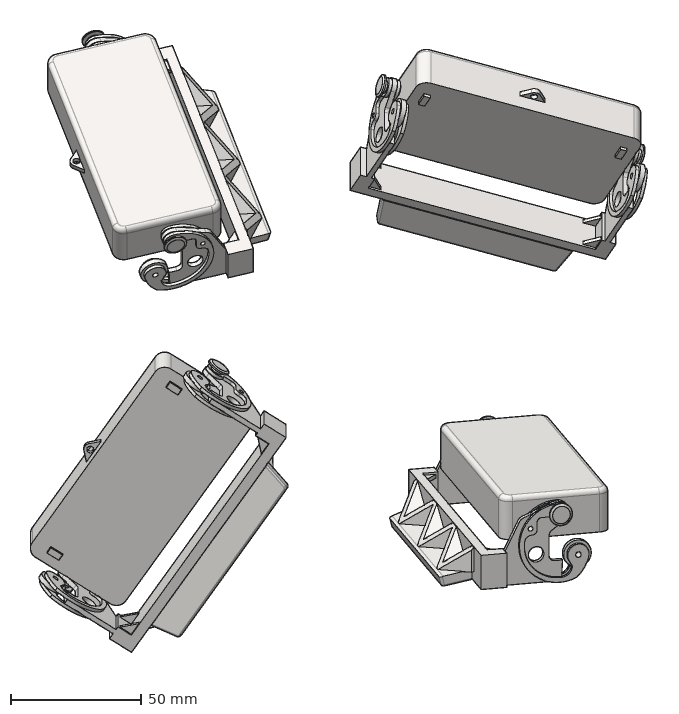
import cadquery as cq
import math


cover_length = 93.5
cover_width = 43.3
cover_height = 17.5
cover_corner_radius = 4.4
cover_edge_radius = 2.1

tab_bottom = 5.7
tab_thickness = 2.0
tab_tip_radius = 2.5
tab_hole_radius = 1.3
tab_overlap = 1.1
tab_hole_y = -23.2

peg_length_x = 2.6
peg_length_y = 5.5
peg_height = 1.3
peg_x = 41.1
peg_y = -12.0

pin_z = 11.1
pin_radius = 2.5
pin_overlap = 0.5
knob_radius = 4.5
knob_thickness = 1.1
knob_chamfer_depth = 0.4
knob_chamfer_radial = 1.0
knob_face_x = 54.8

plate_x = 49.8
plate_thickness = 2.1
plate_head_radius = 4.2
plate_hole_radius = 3.1
plate_hole_center = (9.0, -5.4)
lever_thickness = 4.8
lever_center = (0.0, -1.1)
lever_outer_radius = 16.0
lever_inner_radius = 14.0
lever_head_radius = lever_center[1] + lever_outer_radius - pin_z
rivet_hole_radius = 0.93
rivet_center = (11.6, 5.7)

hook_center = (-7.5, -6.5)
hook_radius = 4.3
roller_radius = 5.5
hook_hole_radius = 1.1

frame_half_length = 53.3
frame_front_y = 21.4
bar_front_y = 27.5
frame_back_y = 31.5
frame_top = -3.0
frame_bottom = -16.9
arm_inner_x = plate_x - lever_thickness / 2
gusset_leg = 5.3
gusset_thickness = 1.5
gusset_inset = 0.9

flange_slope = 0.25
flange_root_top = -12.9
flange_root_bottom = -17.3
flange_end_y = 43.7
flange_buried_run = 1.1
flange_root_half_length = 39.9
flange_end_half_length = 37.2
flange_corner_radius = 1.3
flange_bottom_radius = 0.7
flange_bevel_drop = 0.2

rib_pitch = 28.4
rib_root_top = -3.3
rib_end_drop = 12.5
rib_end_y = 42.4
rib_slope = rib_end_drop / (rib_end_y - frame_back_y)
rib_sink = 0.1
rib_peak_half_width = 0.8
rib_valley_y = 32.4
pocket_half_width = 11.6
pocket_depth_y = 8.5


def box(x0, x1, y0, y1, z0, z1):
    """Axis-aligned box between two corners."""
    return cq.Workplane("XY").box(x1 - x0, y1 - y0, z1 - z0, centered=False).translate((x0, y0, z0))


def polar(center, radius, degrees):
    """Point on a circle."""
    angle = math.radians(degrees)
    return (center[0] + radius * math.cos(angle), center[1] + radius * math.sin(angle))


def tangent_point(point, center, radius, side):
    """Where a line from a point touches a circle; side is +1 or -1."""
    dx = point[0] - center[0]
    dy = point[1] - center[1]
    turn = math.acos(radius / math.hypot(dx, dy))
    return polar(center, radius, math.degrees(math.atan2(dy, dx) + side * turn))


def side_plane(x):
    """Sketch plane across X, with sketch axes along Y and Z."""
    return cq.Workplane("YZ", origin=(x, 0, 0))


def side_disc(center, radius, thickness):
    """Disc across X, centred on the side plate."""
    return side_plane(plate_x - thickness / 2).center(*center).circle(radius).extrude(thickness)


def make_cover():
    """Solid block with rounded upright corners and a rounded top edge."""
    cover = cq.Workplane("XY").rect(cover_length, cover_width).extrude(cover_height)
    cover = cover.edges("|Z").fillet(cover_corner_radius)
    return cover.faces(">Z").edges().fillet(cover_edge_radius)


def make_tab():
    """Eyelet with 45 degree sides tangent to its rounded tip."""
    root_y = -cover_width / 2 + tab_overlap
    tangent = tab_tip_radius / math.sqrt(2)
    shoulder_y = tab_hole_y - tangent
    root_half = tangent + root_y - shoulder_y
    return (
        cq.Workplane("XY", origin=(0, 0, tab_bottom))
        .moveTo(-root_half, root_y)
        .lineTo(-tangent, shoulder_y)
        .threePointArc((0, tab_hole_y - tab_tip_radius), (tangent, shoulder_y))
        .lineTo(root_half, root_y)
        .close()
        .extrude(tab_thickness)
    )


def make_peg():
    """Small rectangular peg under the cover at its +X end."""
    return box(
        peg_x - peg_length_x / 2, peg_x + peg_length_x / 2,
        peg_y - peg_length_y / 2, peg_y + peg_length_y / 2,
        -peg_height, 0,
    )


def make_pin():
    """Pin from the cover out to a chamfered knob, turned about X."""
    profile = [
        (cover_length / 2 - pin_overlap, 0),
        (cover_length / 2 - pin_overlap, pin_radius),
        (knob_face_x - knob_thickness, pin_radius),
        (knob_face_x - knob_thickness, knob_radius),
        (knob_face_x - knob_chamfer_depth, knob_radius),
        (knob_face_x, knob_radius - knob_chamfer_radial),
        (knob_face_x, 0),
    ]
    pin = cq.Workplane("XY").polyline(profile).close().revolve(360, (0, 0, 0), (1, 0, 0))
    return pin.translate((0, 0, pin_z))


def make_plate():
    """Side plate reaching from the frame up to the hinge pin."""
    head = (0.0, pin_z)
    shoulder_start = (16.0, 7.7)
    shoulder_middle = (14.9, 9.3)
    shoulder_end = (13.2, 10.2)
    throat_top = (3.8, 3.1)
    throat_bottom_z = -8.5
    throat_radius = 2.2
    throat_brow_radius = 2.2
    throat_corner = (throat_top[0] - throat_radius, throat_bottom_z + throat_radius)
    foot_tip_y = -1.5
    foot_heel_y = -1.1
    plate = (
        side_plane(plate_x - plate_thickness / 2)
        .moveTo(frame_front_y, frame_bottom)
        .lineTo(frame_front_y, frame_top)
        .lineTo(*shoulder_start)
        .threePointArc(shoulder_middle, shoulder_end)
        .lineTo(*tangent_point(shoulder_end, head, plate_head_radius, 1))
        .threePointArc(
            polar(head, plate_head_radius, 180),
            tangent_point(throat_top, head, plate_head_radius, -1),
        )
        .lineTo(*throat_top)
        .lineTo(throat_top[0], throat_corner[1])
        .threePointArc(polar(throat_corner, throat_radius, -45), (throat_corner[0], throat_bottom_z))
        .lineTo(foot_tip_y, throat_bottom_z)
        .lineTo(foot_heel_y, frame_bottom)
        .close()
        .extrude(plate_thickness)
    )
    brow = cq.selectors.NearestToPointSelector((plate_x, *throat_top))
    return plate.edges(brow).fillet(throat_brow_radius)


def make_lever():
    """C-shaped lever between the hinge pin and the hook, with a roller inside the hook."""
    arch_z = 9.9
    arch_y = 9.0
    jaw_tip = (-5.0, -10.8)
    heel_start = polar(lever_center, lever_outer_radius, -115)
    jaw_end = polar(hook_center, hook_radius, -30)
    lever = (
        side_plane(plate_x - lever_thickness / 2)
        .moveTo(0, pin_z + lever_head_radius)
        .threePointArc(polar(lever_center, lever_outer_radius, 0), heel_start)
        .threePointArc((-9.9, -11.8), polar(hook_center, hook_radius, 180))
        .threePointArc(polar(hook_center, hook_radius, 90), jaw_end)
        .lineTo(*jaw_tip)
        .threePointArc((-3.6, -13.9), polar(lever_center, lever_inner_radius, -94))
        .threePointArc(
            polar(lever_center, lever_inner_radius, -45),
            polar(lever_center, lever_inner_radius, 7),
        )
        .threePointArc((13.1, 2.2), (11.2, 3.1))
        .threePointArc((9.5, 3.7), (arch_y, 5.0))
        .lineTo(arch_y, 8.0)
        .threePointArc((8.4, 9.3), (7.1, arch_z))
        .lineTo(0, arch_z)
        .close()
        .extrude(lever_thickness)
    )
    lever = lever.union(side_disc((0, pin_z), lever_head_radius, lever_thickness))
    slot_size = 4 * lever_outer_radius
    slot = side_plane(plate_x - plate_thickness / 2).rect(slot_size, slot_size).extrude(plate_thickness)
    return lever.cut(slot).union(side_disc(hook_center, roller_radius, plate_thickness))


def make_gussets():
    """Upper and lower triangular webs in the inner corner of the frame."""
    profile = [
        (arm_inner_x, bar_front_y),
        (arm_inner_x - gusset_leg, bar_front_y),
        (arm_inner_x, bar_front_y - gusset_leg),
    ]
    gusset = cq.Workplane("XY").polyline(profile).close().extrude(gusset_thickness)
    upper = gusset.translate((0, 0, frame_top - gusset_inset - gusset_thickness))
    lower = gusset.translate((0, 0, frame_bottom + gusset_inset))
    return upper.union(lower)


def make_side():
    """Everything at the +X end: arm, gussets, plate, lever, pin and peg."""
    side = box(arm_inner_x, frame_half_length, frame_front_y, frame_back_y, frame_bottom, frame_top)
    side = side.union(make_gussets()).union(make_plate()).union(make_lever())
    side = side.cut(side_disc(plate_hole_center, plate_hole_radius, lever_thickness))
    side = side.cut(side_disc(rivet_center, rivet_hole_radius, lever_thickness))
    side = side.cut(side_disc(hook_center, hook_hole_radius, lever_thickness))
    return side.union(make_pin()).union(make_peg())


def make_flange():
    """Tilted plate, tapered in length, with rounded outer corners and lower edges."""
    stretch = math.hypot(1, flange_slope)
    thickness = (flange_root_top - flange_root_bottom) / stretch
    end_bottom_y = flange_end_y - thickness * flange_slope / stretch
    run = (end_bottom_y - frame_back_y) * stretch
    taper = (flange_root_half_length - flange_end_half_length) / run
    buried_half_length = flange_root_half_length + taper * flange_buried_run
    outline = [
        (-buried_half_length, -flange_buried_run),
        (-flange_end_half_length, run),
        (flange_end_half_length, run),
        (buried_half_length, -flange_buried_run),
    ]
    underside = cq.Plane(
        origin=(0, frame_back_y, flange_root_bottom), xDir=(1, 0, 0), normal=(0, flange_slope, 1)
    )
    flange = cq.Workplane(underside).polyline(outline).close().extrude(thickness)
    end_edges = cq.selectors.ParallelDirSelector(underside.zDir)
    flange = flange.edges(end_edges).edges(">Y").fillet(flange_corner_radius)
    flange = flange.faces(cq.selectors.DirectionMinMaxSelector(underside.zDir, directionMax=False))
    flange = flange.edges("not <Y").fillet(flange_bottom_radius)
    in_front_of_back = box(
        -frame_half_length, frame_half_length, frame_front_y, frame_back_y, 2 * frame_bottom, 0
    )
    return flange.cut(in_front_of_back).cut(make_flange_bevel())


def make_flange_bevel():
    """Thin wedge that bevels the top of the flange from the tips of the ribs to its end."""
    bevel_start_z = flange_root_top - flange_slope * (rib_end_y - frame_back_y)
    bevel_end_z = bevel_start_z - flange_slope * (flange_end_y - rib_end_y) - flange_bevel_drop
    section = [(rib_end_y, bevel_start_z), (flange_end_y, bevel_end_z), (flange_end_y, bevel_start_z)]
    return side_plane(0).polyline(section).close().extrude(flange_root_half_length, both=True)


def make_ribs():
    """Three sloping peaks, each hollowed by a V-shaped pocket, leaving a zigzag rib."""
    rib_end_z = rib_root_top - rib_end_drop
    section = [
        (frame_back_y, flange_root_top - rib_sink),
        (frame_back_y, rib_root_top),
        (rib_end_y, rib_end_z),
    ]
    peak_outline = [
        (-rib_pitch / 2, frame_back_y),
        (-rib_pitch / 2, rib_valley_y),
        (-rib_peak_half_width, rib_end_y),
        (rib_peak_half_width, rib_end_y),
        (rib_pitch / 2, rib_valley_y),
        (rib_pitch / 2, frame_back_y),
    ]
    valley_root_drop = (rib_slope - flange_slope) * pocket_depth_y
    pocket_section = [
        (-pocket_half_width, 0),
        (0, -valley_root_drop / math.hypot(1, flange_slope)),
        (pocket_half_width, 0),
    ]
    pocket_start = cq.Plane(
        origin=(0, frame_back_y, rib_root_top), xDir=(1, 0, 0), normal=(0, -1, flange_slope)
    )
    pocket_run = 2 * (rib_end_y - frame_back_y)
    peak = side_plane(0).polyline(section).close().extrude(rib_pitch / 2, both=True)
    peak = peak.intersect(
        cq.Workplane("XY", origin=(0, 0, rib_end_z)).polyline(peak_outline).close().extrude(-rib_end_z)
    )
    pocket = cq.Workplane(pocket_start).polyline(pocket_section).close().extrude(-pocket_run)
    peak = peak.cut(pocket)
    ribs = peak
    for x in (-rib_pitch, rib_pitch):
        ribs = ribs.union(peak.translate((x, 0, 0)))
    return ribs


tab_hole = (
    cq.Workplane("XY", origin=(0, 0, tab_bottom))
    .center(0, tab_hole_y)
    .circle(tab_hole_radius)
    .extrude(tab_thickness)
)
bar = box(-frame_half_length, frame_half_length, bar_front_y, frame_back_y, frame_bottom, frame_top)
side = make_side()

result = make_cover().union(make_tab()).cut(tab_hole)
result = result.union(bar).union(make_flange()).union(make_ribs())
result = result.union(side).union(side.mirror("YZ"))